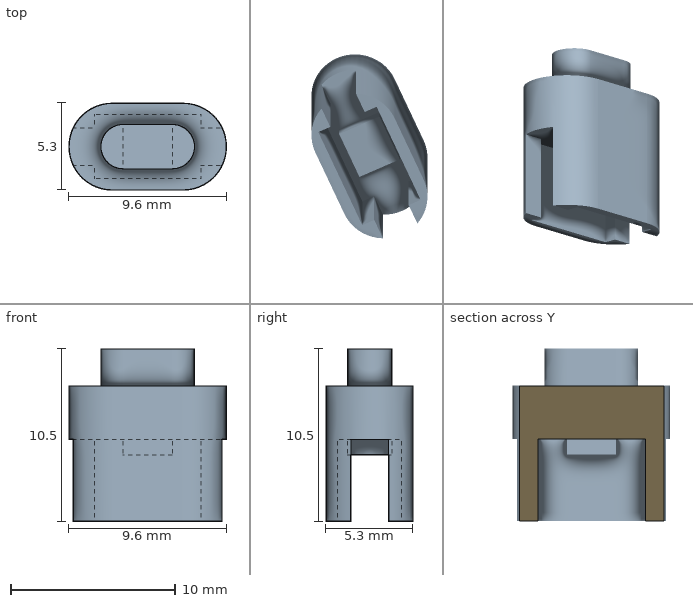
import cadquery as cq

body_length = 9.6
body_width = 5.3
body_height = 8.25

key_length = 5.7
key_width = 2.7
total_height = 10.5
key_height = total_height - body_height

cavity_length = 6.5
cavity_width = 3.9
cavity_depth = 5.0

slot_width = 2.3

post_length = key_length - key_width
post_width = key_width
post_bottom_z = 4.05


def rounded_block(length, width, height, base_z):
    """Block along X with full-radius ends, rising from base_z."""
    return cq.Workplane("XY").workplane(offset=base_z).slot2D(length, width).extrude(height)


def square_block(length, width, bottom_z, top_z):
    """Square-cornered block centred on the Z axis, from bottom_z to top_z."""
    return cq.Workplane("XY").workplane(offset=bottom_z).rect(length, width).extrude(top_z - bottom_z)


body = rounded_block(body_length, body_width, body_height, 0)
key = rounded_block(key_length, key_width, key_height, body_height)

cavity = square_block(cavity_length, cavity_width, 0, cavity_depth)
end_slots = square_block(body_length, slot_width, 0, cavity_depth)
post = square_block(post_length, post_width, post_bottom_z, cavity_depth)

result = body.union(key).cut(cavity).cut(end_slots).union(post)